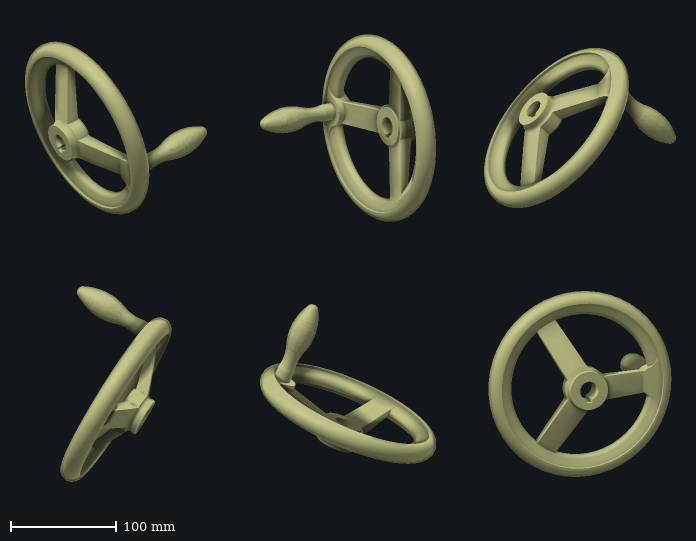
import cadquery as cq
import math


RIM_CENTRE_RADIUS = 80.0
RIM_GRIP_RADIUS = 10.0
RIM_MID_Y = 32.5
RIM_LIP_DEPTH = 2.5
RIM_LIP_FOOT_RADIUS = 79.7
RIM_INNER_RADIUS = 68.0
RIM_INNER_ROUND = 5.0

HUB_NOSE_RADIUS = 37.0 / 2
HUB_NOSE_LENGTH = 5.0
HUB_RADIUS = 41.0 / 2
HUB_SHOULDER_Y = 8.2
HUB_SPOKE_END_Y = 20.7
HUB_BACK_Y = 23.0
BORE_DIAMETER = 18.0
KEYWAY_WIDTH = 6.0
KEYWAY_DEPTH = 2.8

SPOKE_COUNT = 3
SPOKE_FRONT_SLOPE = 0.421
SPOKE_BACK_SLOPE = 0.33
SPOKE_AXIS_WIDTH = 23.5
SPOKE_RIM_WIDTH = 20.2
SPOKE_INNER_RADIUS = 15.0
SPOKE_OUTER_RADIUS = 74.0

PAD_BOSS_RADIUS = 14.0
PAD_FILLET = 13.0
PAD_FRONT_Y = RIM_MID_Y - RIM_GRIP_RADIUS + RIM_LIP_DEPTH
PAD_BACK_Y = RIM_MID_Y + RIM_GRIP_RADIUS - RIM_LIP_DEPTH

HANDLE_X = 71.0
HANDLE_BASE_RADIUS = 16.0 / 2
HANDLE_BASE_END_Y = 50.0
HANDLE_NECK_RADIUS = 7.0
HANDLE_NECK_Y = 59.0
HANDLE_GRIP_START_RADIUS = 8.7
HANDLE_GRIP_START_Y = 71.1
HANDLE_GRIP_RADIUS = 12.35
HANDLE_GRIP_WIDEST_Y = 89.5
HANDLE_TIP_EDGE_RADIUS = 4.7
HANDLE_TIP_EDGE_Y = 117.7
HANDLE_END_Y = 119.87


def revolve_about_y(profile):
    """Revolve a closed (radius, Y) profile drawn on the XY plane about the local Y axis."""
    return profile.close().revolve(360, (0, 0, 0), (0, 1, 0))


def prism_along_y(outline, start_y, end_y):
    """Extrude an (X, Z) outline drawn on the XY plane so that it spans start_y to end_y."""
    solid = outline.extrude(end_y - start_y)
    return solid.rotate((0, 0, 0), (1, 0, 0), 90).translate((0, end_y, 0))


def make_rim():
    round_radius = RIM_INNER_RADIUS + RIM_INNER_ROUND
    front_y = RIM_MID_Y - RIM_GRIP_RADIUS
    back_y = RIM_MID_Y + RIM_GRIP_RADIUS
    across = RIM_LIP_FOOT_RADIUS - round_radius
    along = RIM_GRIP_RADIUS - RIM_LIP_DEPTH
    tangent_angle = math.atan2(along, across) + math.acos(RIM_INNER_ROUND / math.hypot(across, along))
    web_radius = round_radius + RIM_INNER_ROUND * math.cos(tangent_angle)
    web_half_width = RIM_INNER_ROUND * math.sin(tangent_angle)
    profile = (
        cq.Workplane("XY")
        .moveTo(RIM_CENTRE_RADIUS, front_y)
        .threePointArc((RIM_CENTRE_RADIUS + RIM_GRIP_RADIUS, RIM_MID_Y), (RIM_CENTRE_RADIUS, back_y))
        .lineTo(RIM_LIP_FOOT_RADIUS, back_y - RIM_LIP_DEPTH)
        .lineTo(web_radius, RIM_MID_Y + web_half_width)
        .threePointArc((RIM_INNER_RADIUS, RIM_MID_Y), (web_radius, RIM_MID_Y - web_half_width))
        .lineTo(RIM_LIP_FOOT_RADIUS, front_y + RIM_LIP_DEPTH)
    )
    return revolve_about_y(profile)


def make_hub():
    profile = (
        cq.Workplane("XY")
        .lineTo(HUB_NOSE_RADIUS, 0)
        .lineTo(HUB_NOSE_RADIUS, HUB_NOSE_LENGTH)
        .tangentArcPoint((HUB_RADIUS, HUB_SHOULDER_Y), relative=False)
        .lineTo(HUB_RADIUS, HUB_SPOKE_END_Y)
        .lineTo(HUB_NOSE_RADIUS, HUB_SPOKE_END_Y)
        .lineTo(HUB_NOSE_RADIUS, HUB_BACK_Y)
        .lineTo(0, HUB_BACK_Y)
    )
    return revolve_about_y(profile)


def spoke_y(start_y, slope, radius):
    """Y of a spoke cone that passes the hub surface at start_y."""
    return start_y + slope * (radius - HUB_RADIUS)


def make_spokes():
    cone_shell = revolve_about_y(
        cq.Workplane("XY").polyline(
            [
                (radius, spoke_y(start_y, slope, radius))
                for radius, start_y, slope in (
                    (SPOKE_INNER_RADIUS, HUB_SHOULDER_Y, SPOKE_FRONT_SLOPE),
                    (SPOKE_OUTER_RADIUS, HUB_SHOULDER_Y, SPOKE_FRONT_SLOPE),
                    (SPOKE_OUTER_RADIUS, HUB_SPOKE_END_Y, SPOKE_BACK_SLOPE),
                    (SPOKE_INNER_RADIUS, HUB_SPOKE_END_Y, SPOKE_BACK_SLOPE),
                )
            ]
        )
    )
    outline = cq.Workplane("XY").polyline(
        [
            (0, -SPOKE_AXIS_WIDTH / 2),
            (RIM_CENTRE_RADIUS, -SPOKE_RIM_WIDTH / 2),
            (RIM_CENTRE_RADIUS, SPOKE_RIM_WIDTH / 2),
            (0, SPOKE_AXIS_WIDTH / 2),
        ]
    )
    spoke = cone_shell.intersect(prism_along_y(outline.close(), 0, RIM_MID_Y + RIM_GRIP_RADIUS))
    spokes = spoke
    for index in range(1, SPOKE_COUNT):
        spokes = spokes.union(spoke.rotate((0, 0, 0), (0, 1, 0), index * 360 / SPOKE_COUNT))
    return spokes


def make_pad():
    fillet_orbit = RIM_LIP_FOOT_RADIUS - PAD_FILLET
    fillet_to_boss = PAD_BOSS_RADIUS + PAD_FILLET
    fillet_x = (fillet_orbit**2 + HANDLE_X**2 - fillet_to_boss**2) / (2 * HANDLE_X)
    fillet_z = math.sqrt(fillet_orbit**2 - fillet_x**2)
    boss_touch = (
        HANDLE_X + (fillet_x - HANDLE_X) * PAD_BOSS_RADIUS / fillet_to_boss,
        fillet_z * PAD_BOSS_RADIUS / fillet_to_boss,
    )
    rim_touch = (
        fillet_x * RIM_LIP_FOOT_RADIUS / fillet_orbit,
        fillet_z * RIM_LIP_FOOT_RADIUS / fillet_orbit,
    )
    start_angle = math.atan2(boss_touch[1] - fillet_z, boss_touch[0] - fillet_x)
    end_angle = math.atan2(fillet_z, fillet_x)
    middle_angle = (start_angle + end_angle) / 2
    flare_middle = (
        fillet_x + PAD_FILLET * math.cos(middle_angle),
        fillet_z + PAD_FILLET * math.sin(middle_angle),
    )
    outline = (
        cq.Workplane("XY")
        .moveTo(boss_touch[0], -boss_touch[1])
        .threePointArc((HANDLE_X - PAD_BOSS_RADIUS, 0), boss_touch)
        .threePointArc(flare_middle, rim_touch)
        .threePointArc((RIM_LIP_FOOT_RADIUS, 0), (rim_touch[0], -rim_touch[1]))
        .threePointArc((flare_middle[0], -flare_middle[1]), (boss_touch[0], -boss_touch[1]))
        .close()
    )
    return prism_along_y(outline, PAD_FRONT_Y, PAD_BACK_Y)


def make_handle():
    cap_height = HANDLE_END_Y - HANDLE_TIP_EDGE_Y
    cap_radius = (HANDLE_TIP_EDGE_RADIUS**2 + cap_height**2) / (2 * cap_height)
    half_angle = math.asin(HANDLE_TIP_EDGE_RADIUS / cap_radius) / 2
    cap_middle = (
        cap_radius * math.sin(half_angle),
        HANDLE_END_Y - cap_radius * (1 - math.cos(half_angle)),
    )
    profile = (
        cq.Workplane("XY")
        .moveTo(0, RIM_MID_Y)
        .lineTo(HANDLE_BASE_RADIUS, RIM_MID_Y)
        .lineTo(HANDLE_BASE_RADIUS, HANDLE_BASE_END_Y)
        .threePointArc(
            (HANDLE_NECK_RADIUS, HANDLE_NECK_Y), (HANDLE_GRIP_START_RADIUS, HANDLE_GRIP_START_Y)
        )
        .spline(
            [(HANDLE_GRIP_RADIUS, HANDLE_GRIP_WIDEST_Y), (HANDLE_TIP_EDGE_RADIUS, HANDLE_TIP_EDGE_Y)],
            includeCurrent=True,
        )
        .threePointArc(cap_middle, (0, HANDLE_END_Y))
    )
    return revolve_about_y(profile).translate((HANDLE_X, 0, 0))


def make_bore():
    bore = cq.Workplane("XY").circle(BORE_DIAMETER / 2)
    keyway_length = BORE_DIAMETER / 2 + KEYWAY_DEPTH
    keyway = cq.Workplane("XY").center(0, -keyway_length / 2).rect(KEYWAY_WIDTH, keyway_length)
    return prism_along_y(bore, 0, HUB_BACK_Y).union(prism_along_y(keyway, 0, HUB_BACK_Y))


result = make_hub().union(make_spokes()).union(make_rim()).union(make_pad())
result = result.union(make_handle()).cut(make_bore())